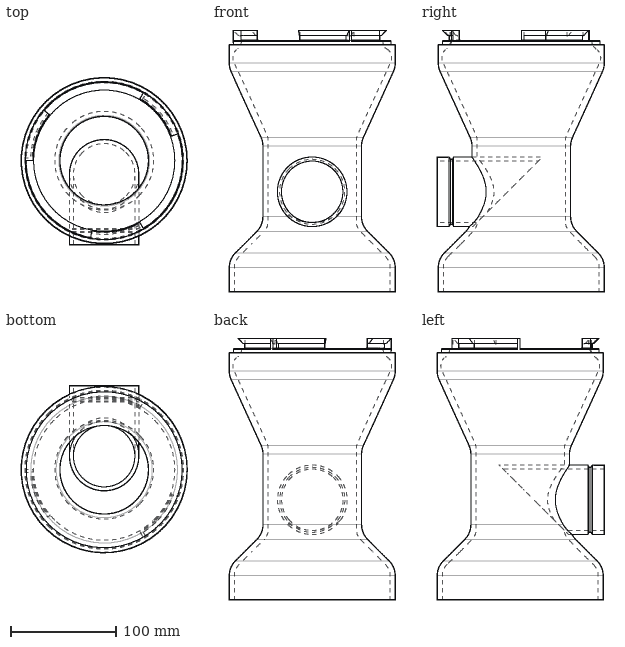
import cadquery as cq
import math

HEIGHT = 248.5
RIM_RADIUS = 158.0 / 2
RIM_TOP = 235.3
RIM_CHAMFER = 0.5
NECK_RADIUS = 94.0 / 2
BASE_CONE_START = 31.3
BASE_CONE_END = BASE_CONE_START + RIM_RADIUS - NECK_RADIUS
FUNNEL_START = 143.0
FUNNEL_END = 213.2
FUNNEL_ANGLE = math.atan2(RIM_RADIUS - NECK_RADIUS, FUNNEL_END - FUNNEL_START)
BEND_RADIUS = 20.0

BORE_RADIUS = 84.0 / 2
WALL = NECK_RADIUS - BORE_RADIUS
BASE_INNER_BEND = BEND_RADIUS - WALL
NECK_INNER_BEND = 12.5
CAVITY_RADIUS = 151.0 / 2
LIP_RADIUS = 67.0
LIP_BEND = 10.0

RING_RADIUS = 150.0 / 2
RING_TOP = 238.8
RING_CHAMFER = 0.7

LUG_COUNT = 3
LUG_PITCH = 360 / LUG_COUNT
LUG_FIRST_ANGLE = 20.0
LUG_SPAN = 40.0
STOP_SPAN = 2.0
LUG_INNER_RADIUS = 67.8
LUG_STEM_RADIUS = 68.5
HOOK_DROP = 5.0

PIPE_RADIUS = 66.0 / 2
PIPE_BORE_RADIUS = 58.5 / 2
PIPE_Z = 95.2
PIPE_END_Y = -80.0
PIPE_INNER_Y = -13.0
GROOVE_RADIUS = 62.0 / 2
GROOVE_FLOOR_WIDTH = 2.0
GROOVE_MOUTH_WIDTH = 4.2
GROOVE_SETBACK = 13.7

CLEARANCE = 12.5


def add_bends(outline, points, radii):
    """Draw along the points, rounding each inner point with its radius; stop short of the last one."""
    vectors = [cq.Vector(*point) for point in points]
    for before, corner, after, radius in zip(vectors, vectors[1:], vectors[2:], radii):
        back = (before - corner).normalized()
        ahead = (after - corner).normalized()
        half_angle = back.getAngle(ahead) / 2
        reach = radius / math.tan(half_angle)
        arc_start = corner + back * reach
        arc_end = corner + ahead * reach
        arc_middle = corner + (back + ahead).normalized() * (radius / math.sin(half_angle) - radius)
        outline = outline.lineTo(arc_start.x, arc_start.y)
        outline = outline.threePointArc((arc_middle.x, arc_middle.y), (arc_end.x, arc_end.y))
    return outline


def turned(outline):
    """Close a radius-height outline and turn it fully about Z."""
    return outline.close().revolve(360, (0, 0), (0, 1))


def sector(profile, start_angle, span):
    """Turn a radius-height polygon about Z from start_angle through span degrees."""
    return (
        cq.Workplane("XZ")
        .polyline(profile)
        .close()
        .revolve(span, (0, 0), (0, 1))
        .rotate((0, 0, 0), (0, 0, 1), start_angle)
    )


def outer_shell():
    """Solid body from the base up to the rim."""
    points = [
        (RIM_RADIUS, 0),
        (RIM_RADIUS, BASE_CONE_START),
        (NECK_RADIUS, BASE_CONE_END),
        (NECK_RADIUS, FUNNEL_START),
        (RIM_RADIUS, FUNNEL_END),
        (RIM_RADIUS, RIM_TOP),
    ]
    outline = cq.Workplane("XZ").lineTo(*points[0])
    outline = add_bends(outline, points, [BEND_RADIUS] * 4)
    outline = outline.lineTo(*points[-1]).lineTo(0, RIM_TOP)
    return turned(outline).faces(">Z").edges().chamfer(RIM_CHAMFER)


def cavity():
    """Hollow inside: base, neck bore and funnel, closing to the lip in an S-bend."""
    base_radius = RIM_RADIUS - WALL
    base_shift = WALL * math.tan(math.radians(45) / 2)

    swing = math.acos(1 - (CAVITY_RADIUS - LIP_RADIUS) / (2 * LIP_BEND))
    lip_middle = (
        LIP_RADIUS + LIP_BEND * (1 - math.cos(swing / 2)),
        RING_TOP - LIP_BEND * math.sin(swing / 2),
    )
    bend_meeting = ((LIP_RADIUS + CAVITY_RADIUS) / 2, RING_TOP - LIP_BEND * math.sin(swing))
    widest = (CAVITY_RADIUS, RING_TOP - 2 * LIP_BEND * math.sin(swing))
    funnel_top = (
        CAVITY_RADIUS - LIP_BEND * (1 - math.cos(FUNNEL_ANGLE)),
        widest[1] - LIP_BEND * math.sin(FUNNEL_ANGLE),
    )
    funnel_bottom_z = funnel_top[1] - (funnel_top[0] - BORE_RADIUS) / math.tan(FUNNEL_ANGLE)

    points = [
        (base_radius, 0),
        (base_radius, BASE_CONE_START - base_shift),
        (BORE_RADIUS, BASE_CONE_END - base_shift),
        (BORE_RADIUS, funnel_bottom_z),
        funnel_top,
    ]
    outline = cq.Workplane("XZ").lineTo(*points[0])
    outline = add_bends(outline, points, [BASE_INNER_BEND, NECK_INNER_BEND, NECK_INNER_BEND])
    outline = (
        outline
        .lineTo(*funnel_top)
        .threePointArc(widest, bend_meeting)
        .threePointArc(lip_middle, (LIP_RADIUS, RING_TOP))
        .lineTo(0, RING_TOP)
    )
    return turned(outline)


def lug_ring():
    """Chamfered ring with the lugs on top, its middle still solid below the ring top."""
    outside = RING_RADIUS + CLEARANCE
    chamfer_points = [
        (RING_RADIUS - RING_CHAMFER, RING_TOP),
        (RING_RADIUS, RING_TOP - RING_CHAMFER),
        (outside, RING_TOP - RING_CHAMFER),
    ]
    lug_opening = [
        (0, RING_TOP),
        (LIP_RADIUS, RING_TOP),
        (LUG_INNER_RADIUS, RING_TOP + LUG_INNER_RADIUS - LIP_RADIUS),
        (LUG_INNER_RADIUS, HEIGHT),
        (0, HEIGHT),
    ]
    gap = [(0, RING_TOP), *chamfer_points, (outside, HEIGHT), (0, HEIGHT)]
    undercut = [
        (LUG_STEM_RADIUS, RING_TOP),
        *chamfer_points,
        (outside, HEIGHT),
        (RING_RADIUS, HEIGHT),
        (RING_RADIUS - HOOK_DROP, HEIGHT - HOOK_DROP),
        (LUG_STEM_RADIUS, HEIGHT - HOOK_DROP),
    ]

    foot = RIM_TOP - WALL
    ring = cq.Workplane("XY", origin=(0, 0, foot)).circle(RING_RADIUS).extrude(HEIGHT - foot)
    ring = ring.cut(sector(lug_opening, 0, 360))
    for index in range(LUG_COUNT):
        lug_start = LUG_FIRST_ANGLE + index * LUG_PITCH
        ring = ring.cut(sector(undercut, lug_start, LUG_SPAN - STOP_SPAN))
        ring = ring.cut(sector(gap, lug_start + LUG_SPAN, LUG_PITCH - LUG_SPAN))
    return ring


def pipe_rod(radius):
    """Rod along the pipe axis, cut at 45 degrees inside so its upper side reaches furthest."""
    side_outline = [
        (PIPE_END_Y, PIPE_Z - radius),
        (PIPE_INNER_Y - radius, PIPE_Z - radius),
        (PIPE_INNER_Y + radius, PIPE_Z + radius),
        (PIPE_END_Y, PIPE_Z + radius),
    ]
    envelope = cq.Workplane("YZ").polyline(side_outline).close().extrude(radius, both=True)
    rod_length = PIPE_INNER_Y + radius - PIPE_END_Y
    rod = cq.Workplane("XZ", origin=(0, PIPE_END_Y, PIPE_Z)).circle(radius).extrude(-rod_length)
    return rod.intersect(envelope)


def pipe_groove():
    """Ring cutter with sloping sides, narrowing towards the groove floor."""
    middle = PIPE_END_Y + GROOVE_SETBACK
    profile = [
        (middle - GROOVE_FLOOR_WIDTH / 2, PIPE_Z + GROOVE_RADIUS),
        (middle - GROOVE_MOUTH_WIDTH / 2, PIPE_Z + PIPE_RADIUS),
        (middle + GROOVE_MOUTH_WIDTH / 2, PIPE_Z + PIPE_RADIUS),
        (middle + GROOVE_FLOOR_WIDTH / 2, PIPE_Z + GROOVE_RADIUS),
    ]
    return cq.Workplane("YZ").polyline(profile).close().revolve(360, (0, PIPE_Z), (1, PIPE_Z))


def make_housing():
    body = outer_shell().union(lug_ring())
    return body.cut(cavity()).cut(pipe_rod(PIPE_RADIUS))


def make_pipe():
    return pipe_rod(PIPE_RADIUS).cut(pipe_rod(PIPE_BORE_RADIUS)).cut(pipe_groove())


housing = make_housing()
pipe = make_pipe()
result = cq.Compound.makeCompound([housing.val(), pipe.val()])